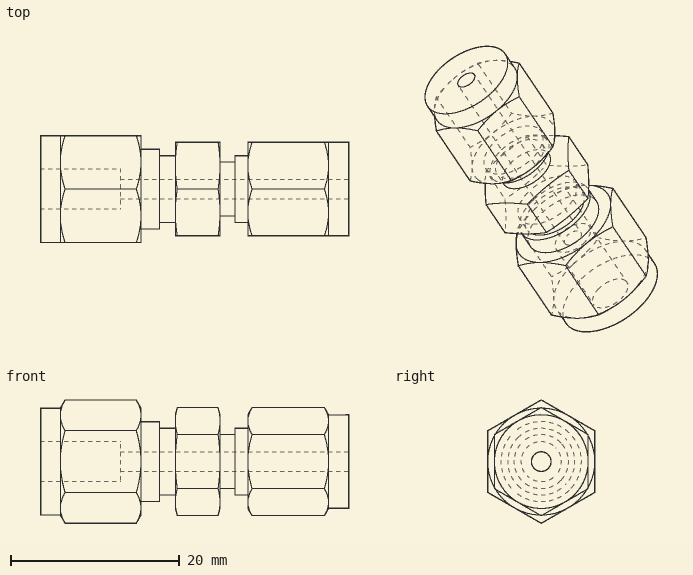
import cadquery as cq
import math

total_length = 36.57
large_hex_flats = 12.7
small_hex_flats = 11.1
hex_nut_length = 9.58
large_collar_length = 2.35
small_collar_length = 2.4

nut_chamfer_angle = 30.0
body_chamfer_angle = 15.0

large_neck_diameter = 9.5
large_neck_length = 2.2
thread_diameter = 7.95
large_thread_length = 1.85
body_hex_length = 5.3
small_neck_diameter = 6.45
small_neck_length = 1.75

flow_diameter = 2.3
tube_socket_diameter = 4.75
tube_socket_depth = 9.5

large_end = -total_length / 2
small_end = total_length / 2
large_nut_start = large_end + large_collar_length
large_nut_end = large_nut_start + hex_nut_length
large_neck_end = large_nut_end + large_neck_length
body_hex_start = large_neck_end + large_thread_length
body_hex_end = body_hex_start + body_hex_length
small_neck_end = body_hex_end + small_neck_length
small_nut_end = small_end - small_collar_length
small_nut_start = small_nut_end - hex_nut_length


def cylinder(start, end, diameter):
    """Round bar along X between two stations."""
    plane = cq.Workplane("YZ", origin=(start, 0, 0))
    return plane.circle(diameter / 2).extrude(end - start)


def chamfered_hex(start, end, flats, chamfer_angle):
    """Hexagonal bar with corners up and down, both ends turned down to the flats."""
    half_side_angle = 30
    flat_radius = flats / 2
    corner_radius = flat_radius / math.cos(math.radians(half_side_angle))
    chamfer_length = (corner_radius - flat_radius) * math.tan(math.radians(chamfer_angle))
    corners = [
        (corner_radius * math.sin(math.radians(angle)), corner_radius * math.cos(math.radians(angle)))
        for angle in range(0, 360, 2 * half_side_angle)
    ]
    hex_bar = cq.Workplane("YZ", origin=(start, 0, 0)).polyline(corners).close().extrude(end - start)
    turned_envelope = (
        cq.Workplane("XY")
        .moveTo(start, 0)
        .lineTo(start, flat_radius)
        .lineTo(start + chamfer_length, corner_radius)
        .lineTo(end - chamfer_length, corner_radius)
        .lineTo(end, flat_radius)
        .lineTo(end, 0)
        .close()
        .revolve(360, (0, 0, 0), (1, 0, 0))
    )
    return hex_bar.intersect(turned_envelope)


fitting = cylinder(large_end, large_nut_start, large_hex_flats)
fitting = fitting.union(chamfered_hex(large_nut_start, large_nut_end, large_hex_flats, nut_chamfer_angle))

fitting = fitting.union(cylinder(large_nut_end, large_neck_end, large_neck_diameter))
fitting = fitting.union(cylinder(large_neck_end, body_hex_start, thread_diameter))
fitting = fitting.union(chamfered_hex(body_hex_start, body_hex_end, small_hex_flats, body_chamfer_angle))
fitting = fitting.union(cylinder(body_hex_end, small_neck_end, small_neck_diameter))
fitting = fitting.union(cylinder(small_neck_end, small_nut_start, thread_diameter))

fitting = fitting.union(chamfered_hex(small_nut_start, small_nut_end, small_hex_flats, nut_chamfer_angle))
fitting = fitting.union(cylinder(small_nut_end, small_end, small_hex_flats))

fitting = fitting.cut(cylinder(large_end, small_end, flow_diameter))
fitting = fitting.cut(cylinder(large_end, large_end + tube_socket_depth, tube_socket_diameter))

result = fitting